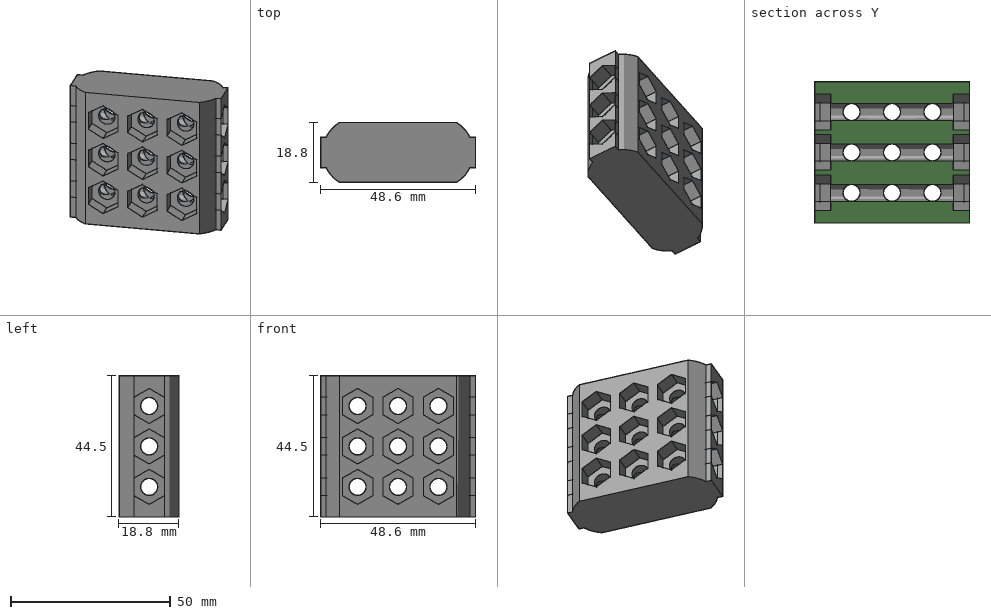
import cadquery as cq
import math

length = 48.65
thickness = 18.8
height = 44.45

pitch = 12.7
hole_diameter = 5.25
nut_across_flats = 9.55
nut_depth = 5.0
grid_offsets = (-pitch, 0, pitch)

lip_thickness = 0.1
lip_overhang = 0.1
tab_length = length - lip_thickness

corner_radius = 11.0

tab_web = 0.05
tab_width = nut_across_flats + 2 * tab_web


def body():
    """Flat-sided block with rounded ends, with full-height tabs and a lip on the +X tab."""
    face_y = thickness / 2
    flat_end_x = pitch + math.sqrt(corner_radius**2 - face_y**2)
    nose_x = pitch + corner_radius
    rounded = (
        cq.Workplane("XY")
        .moveTo(-flat_end_x, -face_y)
        .lineTo(flat_end_x, -face_y)
        .threePointArc((nose_x, 0), (flat_end_x, face_y))
        .lineTo(-flat_end_x, face_y)
        .threePointArc((-nose_x, 0), (-flat_end_x, -face_y))
        .close()
        .extrude(height / 2, both=True)
    )
    tabs = cq.Workplane("XY").box(tab_length, tab_width, height)
    lip = (
        cq.Workplane("XY")
        .box(lip_thickness, tab_width + 2 * lip_overhang, height)
        .translate(((tab_length + lip_thickness) / 2, 0, 0))
    )
    return rounded.union(tabs).union(lip)


def nut_pocket(start_z, depth):
    """Hexagonal prism along Z with its points on the Y axis."""
    across_corners = nut_across_flats / math.cos(math.pi / 6)
    return (
        cq.Workplane("XY")
        .workplane(offset=start_z)
        .transformed(rotate=(0, 0, 90))
        .polygon(6, across_corners)
        .extrude(depth)
    )


def bolt_cutter(span, overrun=0):
    """Through hole along Y with a nut pocket at each end of the span.

    The cutter runs on past both ends of the span by the overrun.
    """
    half_length = span / 2 + overrun
    pocket_length = nut_depth + overrun
    hole = cq.Workplane("XY").circle(hole_diameter / 2).extrude(half_length, both=True)
    upper_pocket = nut_pocket(half_length - pocket_length, pocket_length)
    lower_pocket = nut_pocket(-half_length, pocket_length)
    cutter = hole.union(upper_pocket).union(lower_pocket)
    return cutter.rotate((0, 0, 0), (1, 0, 0), 90)


result = body()

face_cutter = bolt_cutter(thickness)
end_cutter = bolt_cutter(tab_length, lip_thickness).rotate((0, 0, 0), (0, 0, 1), 90)

for z in grid_offsets:
    result = result.cut(end_cutter.translate((0, 0, z)))
    for x in grid_offsets:
        result = result.cut(face_cutter.translate((x, 0, z)))